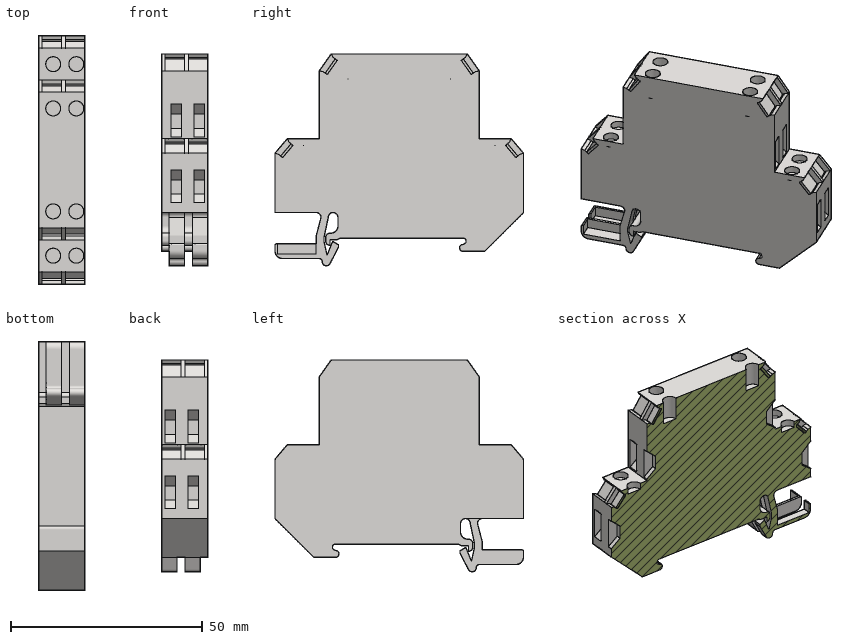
import cadquery as cq
import math

PITCH = 6.0
WIDTH = 12.0
LEFT_X = -WIDTH / 2
RIGHT_X = WIDTH / 2
MODULE_STARTS = [LEFT_X, RIGHT_X - PITCH]

TOP_Z = 55.4
STEP_Z = 33.3
BASE_Z = 13.9
HALF_LENGTH = 32.5
UPPER_HALF = 20.9
UPPER_CHAMFER = (3.1, 4.4)
LOWER_CHAMFER = (3.25, 3.85)

SEAT_Z = 7.2
HEEL_Y = 22.3
HOOK_BOTTOM_Z = 3.8
HOOK_TIP_Y = 15.7
HOOK_BOTTOM_R = 1.0
HOOK_TOP_R = 0.85
NOTCH_Y = 17.4
NOTCH_LIP_Z = 6.05
NOTCH_R = 0.65
SEAT_END_Y = -15.5
NOSE_STEP_Y = -16.25
NOSE_STEP_Z = 6.8
NOSE_BACK_Y = -18.1
NOSE_R = 1.2
NOSE_BOTTOM_Z = 5.3
NOSE_TOP_Z = 8.6
RELIEF_Y = -16.05
RELIEF_BOTTOM_R = 1.8
RELIEF_TOP_R = 1.25

FOOT_WIDTH = 4.0
ARM_BACK_Y = RELIEF_Y - 2 * RELIEF_TOP_R
ARM_FRONT_Y = -20.5
ARM_LOW_BACK_Y = -19.6
ARM_LOW_BACK_Z = 7.5
ARM_LOW_FRONT_Y = -21.7
ARM_LOW_FRONT_Z = 7.9
ARM_WAIST_Z = 6.4
CROTCH = (-18.85, 2.85)
CLAW_TIP_INNER = (-17.4, 6.45)
CLAW_TIP_OUTER = (-15.85, 5.5)
CLAW_BACK_Z = 4.9
TOE_R = 1.1
TOE_Y = -19.05
TOE_START_ANGLE = -27
TAB_TOP_Z = 5.8
TAB_BOTTOM_Z = 1.9
TAB_TIP_R = 2.0
TAB_LIP_R = 0.45
TAB_WALL = 0.65
TAB_FLOOR = 1.25

TERMINAL_X = 3.8
HOLE_R = 1.95
HOLE_INSET = 7.5
UPPER_HOLE_DEPTH = 6.5
LOWER_HOLE_DEPTH = 1.8
FUNNEL_WIDTH = 2.7
FUNNEL_HEIGHT = 8.5
FUNNEL_DEPTH = 2.85
FUNNEL_TOP_DROP = 2.6
FUNNEL_BOTTOM_RISE = 2.2
UPPER_FUNNEL_Z = 33.75
LOWER_FUNNEL_Z = 16.5

POCKET_WALL = 0.9
FLARE_ANGLE = 23.6
FLARE_DEPTH = 1.0
LABEL_DEPTH = 1.6
LABEL_THICKNESS = 0.65
POCKET_DEPTH = LABEL_DEPTH + LABEL_THICKNESS

LEVELS = [
    (UPPER_HALF, TOP_Z, UPPER_CHAMFER, UPPER_HOLE_DEPTH, UPPER_FUNNEL_Z),
    (HALF_LENGTH, STEP_Z, LOWER_CHAMFER, LOWER_HOLE_DEPTH, LOWER_FUNNEL_Z),
]
SIDES = [-1, 1]


def on_circle(y, z, radius, degrees):
    a = math.radians(degrees)
    return (y + radius * math.cos(a), z + radius * math.sin(a))


def extrude_x(outline, start_x, width):
    """Extrude a closed (Y, Z) outline along +X."""
    return outline.extrude(width).translate((start_x, 0, 0))


def polygon_x(points, start_x, width):
    return extrude_x(cq.Workplane("YZ").polyline(points).close(), start_x, width)


def make_slab():
    """The housing as a plain slab, with the rail seat along its bottom."""
    upper_run, upper_drop = UPPER_CHAMFER
    lower_run, lower_drop = LOWER_CHAMFER
    hook_z = HOOK_BOTTOM_Z + HOOK_BOTTOM_R
    nose_front_y = NOSE_BACK_Y - NOSE_R
    outline = (
        cq.Workplane("YZ")
        .moveTo(-HALF_LENGTH, BASE_Z)
        .lineTo(-HALF_LENGTH, STEP_Z - lower_drop)
        .lineTo(-HALF_LENGTH + lower_run, STEP_Z)
        .lineTo(-UPPER_HALF, STEP_Z)
        .lineTo(-UPPER_HALF, TOP_Z - upper_drop)
        .lineTo(-UPPER_HALF + upper_run, TOP_Z)
        .lineTo(UPPER_HALF - upper_run, TOP_Z)
        .lineTo(UPPER_HALF, TOP_Z - upper_drop)
        .lineTo(UPPER_HALF, STEP_Z)
        .lineTo(HALF_LENGTH - lower_run, STEP_Z)
        .lineTo(HALF_LENGTH, STEP_Z - lower_drop)
        .lineTo(HALF_LENGTH, BASE_Z)
        .lineTo(HEEL_Y, HOOK_BOTTOM_Z)
        .lineTo(HOOK_TIP_Y + HOOK_BOTTOM_R, HOOK_BOTTOM_Z)
        .tangentArcPoint((HOOK_TIP_Y, hook_z), relative=False)
        .tangentArcPoint((HOOK_TIP_Y + HOOK_TOP_R, hook_z + HOOK_TOP_R), relative=False)
        .lineTo(NOTCH_Y, NOTCH_LIP_Z)
        .lineTo(NOTCH_Y, SEAT_Z - NOTCH_R)
        .tangentArcPoint((NOTCH_Y - NOTCH_R, SEAT_Z), relative=False)
        .lineTo(SEAT_END_Y, SEAT_Z)
        .lineTo(NOSE_STEP_Y, NOSE_STEP_Z)
        .lineTo(NOSE_BACK_Y, NOSE_STEP_Z)
        .lineTo(NOSE_BACK_Y, NOSE_BOTTOM_Z)
        .threePointArc(
            on_circle(NOSE_BACK_Y, NOSE_BOTTOM_Z + NOSE_R, NOSE_R, 225),
            (nose_front_y, NOSE_BOTTOM_Z + NOSE_R),
        )
        .lineTo(nose_front_y, NOSE_TOP_Z - NOSE_R)
        .tangentArcPoint((NOSE_BACK_Y, NOSE_TOP_Z), relative=False)
        .lineTo(RELIEF_Y - RELIEF_BOTTOM_R, NOSE_TOP_Z)
        .tangentArcPoint((RELIEF_Y, NOSE_TOP_Z + RELIEF_BOTTOM_R), relative=False)
        .lineTo(RELIEF_Y, BASE_Z - RELIEF_TOP_R)
        .tangentArcPoint((RELIEF_Y - RELIEF_TOP_R, BASE_Z), relative=False)
        .close()
    )
    return extrude_x(outline, LEFT_X, WIDTH)


def make_foot(start_x):
    """A sprung arm that hangs from the base, with a claw for the rail and a release tab."""
    claw_back = (CLAW_TIP_OUTER[0], CLAW_BACK_Z)
    fillet_z = BASE_Z - RELIEF_TOP_R
    outline = (
        cq.Workplane("YZ")
        .moveTo(ARM_BACK_Y + RELIEF_TOP_R, BASE_Z)
        .threePointArc(
            on_circle(ARM_BACK_Y + RELIEF_TOP_R, fillet_z, RELIEF_TOP_R, 135),
            (ARM_BACK_Y, fillet_z),
        )
        .lineTo(ARM_LOW_BACK_Y, ARM_LOW_BACK_Z)
        .lineTo(ARM_LOW_BACK_Y, ARM_WAIST_Z)
        .lineTo(*CROTCH)
        .lineTo(*CLAW_TIP_INNER)
        .lineTo(*CLAW_TIP_OUTER)
        .lineTo(*claw_back)
        .lineTo(*on_circle(TOE_Y, TOE_R, TOE_R, TOE_START_ANGLE))
        .threePointArc(
            on_circle(TOE_Y, TOE_R, TOE_R, 270),
            on_circle(TOE_Y, TOE_R, TOE_R, 180),
        )
        .tangentArcPoint((TOE_Y - TAB_BOTTOM_Z, TAB_BOTTOM_Z), relative=False)
        .lineTo(-HALF_LENGTH + TAB_TIP_R, TAB_BOTTOM_Z)
        .tangentArcPoint((-HALF_LENGTH, TAB_BOTTOM_Z + TAB_TIP_R), relative=False)
        .lineTo(-HALF_LENGTH, TAB_TOP_Z - TAB_LIP_R)
        .tangentArcPoint((-HALF_LENGTH + TAB_LIP_R, TAB_TOP_Z), relative=False)
        .lineTo(ARM_LOW_FRONT_Y, TAB_TOP_Z)
        .lineTo(ARM_LOW_FRONT_Y, ARM_LOW_FRONT_Z)
        .lineTo(ARM_FRONT_Y, fillet_z)
        .threePointArc(
            on_circle(ARM_FRONT_Y - RELIEF_TOP_R, fillet_z, RELIEF_TOP_R, 45),
            (ARM_FRONT_Y - RELIEF_TOP_R, BASE_Z),
        )
        .close()
    )
    foot = extrude_x(outline, start_x, FOOT_WIDTH)
    hollow = cq.Workplane("XY").box(
        FOOT_WIDTH - TAB_WALL,
        HALF_LENGTH + ARM_LOW_FRONT_Y - TAB_WALL,
        TAB_TOP_Z - TAB_BOTTOM_Z - TAB_FLOOR,
        centered=False,
    )
    return foot.cut(
        hollow.translate((start_x + TAB_WALL, -HALF_LENGTH + TAB_WALL, TAB_BOTTOM_Z + TAB_FLOOR))
    )


def make_hole(center_x, level, side):
    half, top, _, depth, _ = level
    return (
        cq.Workplane("XY", origin=(center_x, side * (half - HOLE_INSET), top - depth))
        .circle(HOLE_R)
        .extrude(depth)
    )


def make_funnel(center_x, level, side):
    """A wire entry that narrows from above and below toward its flat inner end."""
    half, _, _, _, bottom = level
    outer_y = side * half
    inner_y = side * (half - FUNNEL_DEPTH)
    points = [
        (outer_y, bottom),
        (inner_y, bottom + FUNNEL_BOTTOM_RISE),
        (inner_y, bottom + FUNNEL_HEIGHT - FUNNEL_TOP_DROP),
        (outer_y, bottom + FUNNEL_HEIGHT),
    ]
    return polygon_x(points, center_x - FUNNEL_WIDTH / 2, FUNNEL_WIDTH)


def chamfer_point(level, side, along, depth):
    """(Y, Z) of a point `along` the chamfer from its top edge and `depth` below its face."""
    half, top, (run, drop), _, _ = level
    length = math.hypot(run, drop)
    y = half - run + (along * run - depth * drop) / length
    z = top - (along * drop + depth * run) / length
    return (side * y, z)


def pocket_sides(level):
    """Distances along the chamfer to the two straight walls of its label pocket."""
    _, _, (run, drop), _, _ = level
    flare = FLARE_DEPTH * math.tan(math.radians(FLARE_ANGLE))
    return flare, math.hypot(run, drop) - flare


def make_pocket(start_x, level, side):
    """A pocket with flared mouth, open toward the right side of its module."""
    _, _, (run, drop), _, _ = level
    near, far = pocket_sides(level)
    corners = [
        (0, 0),
        (near, FLARE_DEPTH),
        (near, POCKET_DEPTH),
        (far, POCKET_DEPTH),
        (far, FLARE_DEPTH),
        (math.hypot(run, drop), 0),
    ]
    points = [chamfer_point(level, side, *corner) for corner in corners]
    return polygon_x(points, start_x + POCKET_WALL, PITCH - POCKET_WALL)


def make_label(start_x, level, side):
    """A flat label that fills the bottom of its pocket."""
    near, far = pocket_sides(level)
    corners = [(near, LABEL_DEPTH), (near, POCKET_DEPTH), (far, POCKET_DEPTH), (far, LABEL_DEPTH)]
    points = [chamfer_point(level, side, *corner) for corner in corners]
    return polygon_x(points, start_x + POCKET_WALL, PITCH - POCKET_WALL)


def make_housing():
    housing = make_slab()
    for start_x in MODULE_STARTS:
        housing = housing.union(make_foot(start_x + PITCH - FOOT_WIDTH))
        for level in LEVELS:
            for side in SIDES:
                housing = housing.cut(make_hole(start_x + TERMINAL_X, level, side))
                housing = housing.cut(make_funnel(start_x + TERMINAL_X, level, side))
                housing = housing.cut(make_pocket(start_x, level, side))
    return housing


housing = make_housing()
labels = [
    make_label(start_x, level, side)
    for start_x in MODULE_STARTS
    for level in LEVELS
    for side in SIDES
]

result = cq.Compound.makeCompound([housing.val(), *[label.val() for label in labels]])